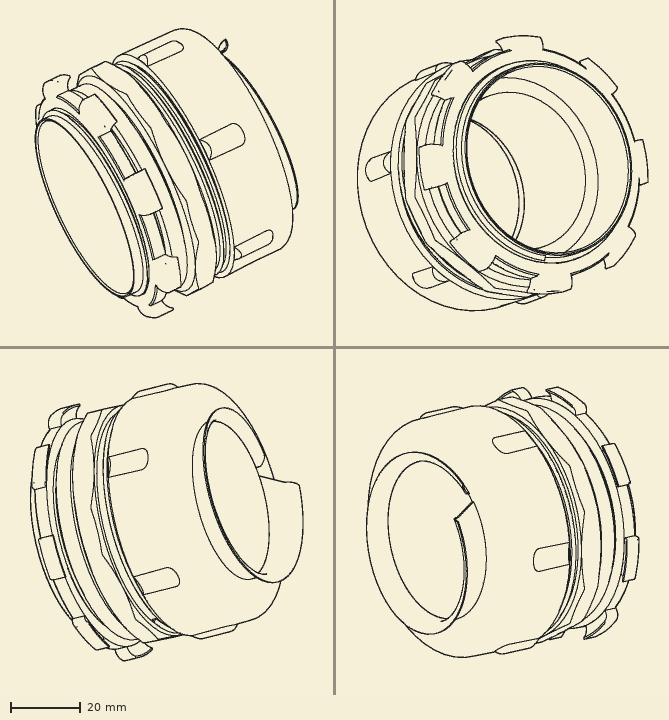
import cadquery as cq
import math


gasket_start, gasket_end = 10.7, 15.4
hex_start, hex_end = 17.05, 24.15
cap_start, cap_end = 29.4, 50.7
ledge_depth = hex_start

mouth_bore_d = 55.0
mouth_chamfer_d = 56.0
through_bore_d = 46.4
tube_d = 56.8
tube_thread_d = 59.55
gasket_d = 65.0
neck_d = 65.4
neck_thread_d = 67.8
cap_front_d = 71.1
cap_rear_d = 70.5
cap_round = 3.55

thread_pitch = 2.05
thread_base = 1.65
thread_sink = 0.45
thread_origin = 2.1
thread_start_angle = 90
front_turns = 4.55
middle_first_turn, middle_turns = 6, 1.85
neck_first_turn, neck_turns = 11.4, 3

wide_flats = 68.55
narrow_flats = 71.1
hex_corner_round = 2.1
hex_cone_d = 72.9
hex_cone_length = 1.3

rib_count = 6
rib_angle = 1
rib_end = 42.6
rib_reach = 37.0
rib_radius = 4.2
rib_dome = 2.5
rib_bevel = 1.6

insert_d = 47.4
insert_wall = 0.415
lip_pitch = 8.0
lip_turn = 354
lip_start_angle = 229
lip_low_end = 53.2
lip_flare = 2.7
lip_skirt = 10.95

nut_start = 4.15
nut_disc_thickness = 4.15
nut_end = 10.2
nut_bore_d = 59.7
nut_disc_d = 67.8
nut_chamfer_width, nut_chamfer_depth = 0.45, 0.4
lug_count = 8
lug_arc = 19.5
lug_centre_angle = 8.2
lug_outer_r = 37.75
lug_tip_wall = 0.5
lug_edge_round = 0.3
lug_round_r = 35.7
lug_bend_start_r = 33.7
lug_bend_height = 2.0


def turned(points):
    """Solid of revolution about Z from (radius, z) points."""
    return cq.Workplane("XZ").polyline(points).close().revolve(360, (0, 0), (0, 1))


def thread(root_d, crest_d, first_turn, turns):
    """Right-handed V ridge between ruled helical flanks; its base sinks into the root cylinder."""
    half_base = thread_base / 2
    height = turns * thread_pitch
    corners = [
        (root_d / 2 - thread_sink, -half_base),
        (crest_d / 2, 0),
        (root_d / 2 - thread_sink, half_base),
    ]
    helices = [
        cq.Wire.makeHelix(thread_pitch, height, radius, center=cq.Vector(0, 0, rise))
        for radius, rise in corners
    ]
    faces = [cq.Face.makeRuledSurface(helices[i - 1], helices[i]) for i in range(len(helices))]
    for turn in (0, turns):
        angle = 2 * math.pi * turn
        triangle = [
            cq.Vector(radius * math.cos(angle), radius * math.sin(angle), rise + turn * thread_pitch)
            for radius, rise in corners
        ]
        faces.append(cq.Face.makeFromWires(cq.Wire.makePolygon(triangle, close=True)))
    ridge = cq.Workplane(cq.Solid.makeSolid(cq.Shell.makeShell(faces)))
    base = thread_origin + first_turn * thread_pitch
    return ridge.rotate((0, 0, 0), (0, 0, 1), thread_start_angle).translate((0, 0, base))


def fitting_core():
    """Bored tube with its gasket ring, neck and rounded cap."""
    mouth_r = mouth_bore_d / 2
    mouth_chamfer = (mouth_chamfer_d - mouth_bore_d) / 2
    bore_r = through_bore_d / 2
    tube_r = tube_d / 2
    gasket_r = gasket_d / 2
    neck_r = neck_d / 2
    cap_rear_r = cap_rear_d / 2
    round_start = cap_end - cap_round
    diagonal = cap_round * math.sqrt(0.5)
    return (
        cq.Workplane("XZ")
        .moveTo(mouth_r + mouth_chamfer, 0)
        .lineTo(tube_r, 0)
        .lineTo(tube_r, gasket_start)
        .lineTo(gasket_r, gasket_start)
        .lineTo(gasket_r, gasket_end)
        .lineTo(tube_r, gasket_end)
        .lineTo(tube_r, hex_start)
        .lineTo(neck_r, hex_start)
        .lineTo(neck_r, cap_start)
        .lineTo(cap_front_d / 2, cap_start)
        .lineTo(cap_rear_r, round_start)
        .threePointArc(
            (cap_rear_r - cap_round + diagonal, round_start + diagonal),
            (cap_rear_r - cap_round, cap_end),
        )
        .lineTo(bore_r, cap_end)
        .lineTo(bore_r, ledge_depth)
        .lineTo(mouth_r, ledge_depth)
        .lineTo(mouth_r, mouth_chamfer)
        .close()
        .revolve(360, (0, 0), (0, 1))
    )


def wrench_section():
    """Hexagon with its corners cut by a second hexagon, coned at both ends."""
    height = hex_end - hex_start
    to_corner = 1 / math.cos(math.pi / 6)
    wide = cq.Workplane("XY").polygon(6, wide_flats * to_corner).extrude(height)
    wide = wide.rotate((0, 0, 0), (0, 0, 1), 30)
    narrow = cq.Workplane("XY").polygon(6, narrow_flats * to_corner).extrude(height)
    prism = wide.intersect(narrow).edges("|Z").fillet(hex_corner_round)
    cone_r = hex_cone_d / 2
    end_r = wide_flats / 2
    envelope = turned([
        (0, 0),
        (end_r, 0),
        (cone_r, hex_cone_length),
        (cone_r, height - hex_cone_length),
        (end_r, height),
        (0, height),
    ])
    hollow = cq.Workplane("XY").circle(tube_d / 2 - thread_sink).extrude(height)
    return prism.intersect(envelope).cut(hollow).translate((0, 0, hex_start))


def grip_rib():
    """Round-backed rib along the cap, domed at the rear and bevelled at the front."""
    rib = (
        cq.Workplane("XY", origin=(rib_reach - rib_radius, 0, cap_start))
        .circle(rib_radius)
        .extrude(rib_end - cap_start)
        .faces(">Z")
        .edges()
        .fillet(rib_dome)
    )
    bevel = (
        cq.Workplane("XZ")
        .polyline([
            (rib_reach - rib_bevel, cap_start),
            (rib_reach, cap_start + rib_bevel),
            (rib_reach + rib_bevel, cap_start),
        ])
        .close()
        .extrude(rib_radius, both=True)
    )
    return rib.cut(bevel)


def spiral_lip():
    """Thin insert wall whose outward-flared rim climbs along a helix."""
    outer_r = insert_d / 2
    inner_r = outer_r - insert_wall
    inner_flare = lip_flare + insert_wall
    rim_r = outer_r + lip_flare
    rim_drop = insert_wall
    diagonal = math.sqrt(0.5)
    profile = (
        cq.Workplane("XZ")
        .moveTo(inner_r, -lip_skirt)
        .lineTo(outer_r, -lip_skirt)
        .lineTo(outer_r, -inner_flare)
        .threePointArc(
            (rim_r - lip_flare * diagonal, lip_flare * diagonal - inner_flare),
            (rim_r, -rim_drop),
        )
        .lineTo(rim_r, 0)
        .threePointArc(
            (rim_r - inner_flare * diagonal, inner_flare * diagonal - inner_flare),
            (inner_r, -inner_flare),
        )
        .close()
    )
    helix = cq.Workplane(cq.Wire.makeHelix(lip_pitch, lip_pitch * lip_turn / 360, outer_r))
    lip = profile.sweep(helix, isFrenet=True)
    return lip.rotate((0, 0, 0), (0, 0, 1), lip_start_angle).translate((0, 0, lip_low_end))


def lip_end_cut():
    """Slanted cut that trims the high end of the spiral lip."""
    cut_top = 18.35
    step_level = 13.0
    slope_start, slope_end = 58.05, 49.8
    slope_end_level = 16.2
    near_x, far_x = 16.6, 30.2
    return (
        cq.Workplane("YZ", origin=(-far_x, 0, 0))
        .polyline([
            (-cut_top, slope_end),
            (-slope_end_level, slope_end),
            (-step_level, slope_start),
            (-step_level, slope_start + lip_pitch),
            (-cut_top, slope_start + lip_pitch),
        ])
        .close()
        .extrude(far_x - near_x)
    )


def lip_low_end_trim():
    """Block that squares off the flare at the low end of the spiral lip."""
    near_x, far_x = 15.7, 22.65
    low_level, high_level = 16.6, 30.2
    bottom = 49.8
    return (
        cq.Workplane("XY", origin=(0, 0, bottom))
        .moveTo(-near_x, -low_level)
        .lineTo(-far_x, -low_level)
        .lineTo(-far_x, -high_level)
        .lineTo(-near_x, -high_level)
        .close()
        .extrude(lip_pitch)
    )


def make_fitting():
    fitting = fitting_core()
    fitting = fitting.union(thread(tube_d, tube_thread_d, 0, front_turns))
    fitting = fitting.union(thread(tube_d, tube_thread_d, middle_first_turn, middle_turns))
    fitting = fitting.union(thread(neck_d, neck_thread_d, neck_first_turn, neck_turns))
    fitting = fitting.union(wrench_section())
    for index in range(rib_count):
        angle = rib_angle + index * 360 / rib_count
        fitting = fitting.union(grip_rib().rotate((0, 0, 0), (0, 0, 1), angle))
    return fitting.union(spiral_lip().cut(lip_end_cut()).cut(lip_low_end_trim()))


def locknut_lug():
    """Curved lug that bends outward from the disc and back along the axis."""
    bore_r = nut_bore_d / 2
    disc_back = nut_start + nut_disc_thickness
    profile = (
        cq.Workplane("XZ")
        .moveTo(bore_r, nut_start)
        .lineTo(lug_bend_start_r, nut_start)
        .threePointArc((36.4, nut_start + 0.7), (lug_outer_r, nut_start + lug_bend_height))
        .lineTo(lug_outer_r, nut_end)
        .lineTo(lug_outer_r - lug_tip_wall, nut_end)
        .threePointArc((35.8, disc_back + 0.45), (33.4, disc_back))
        .lineTo(bore_r, disc_back)
        .close()
    )
    lug = profile.revolve(lug_arc, (0, 0), (0, 1))
    outer_edges = lug.edges().filter(
        lambda edge: edge.Center().z < nut_end - lug_edge_round
        and math.hypot(edge.Center().x, edge.Center().y) > lug_round_r
    )
    return outer_edges.fillet(lug_edge_round)


def make_locknut():
    bore_r = nut_bore_d / 2
    disc_r = nut_disc_d / 2
    disc_back = nut_start + nut_disc_thickness
    locknut = turned([
        (bore_r, nut_start),
        (disc_r - nut_chamfer_width, nut_start),
        (disc_r, nut_start + nut_chamfer_depth),
        (disc_r, disc_back),
        (bore_r, disc_back),
    ])
    for index in range(lug_count):
        angle = -lug_centre_angle + index * 360 / lug_count - lug_arc / 2
        locknut = locknut.union(locknut_lug().rotate((0, 0, 0), (0, 0, 1), angle))
    return locknut


def along_y(body):
    return body.rotate((0, 0, 0), (1, 0, 0), -90)


fitting = along_y(make_fitting())
locknut = along_y(make_locknut())
result = cq.Compound.makeCompound([fitting.val(), locknut.val()])